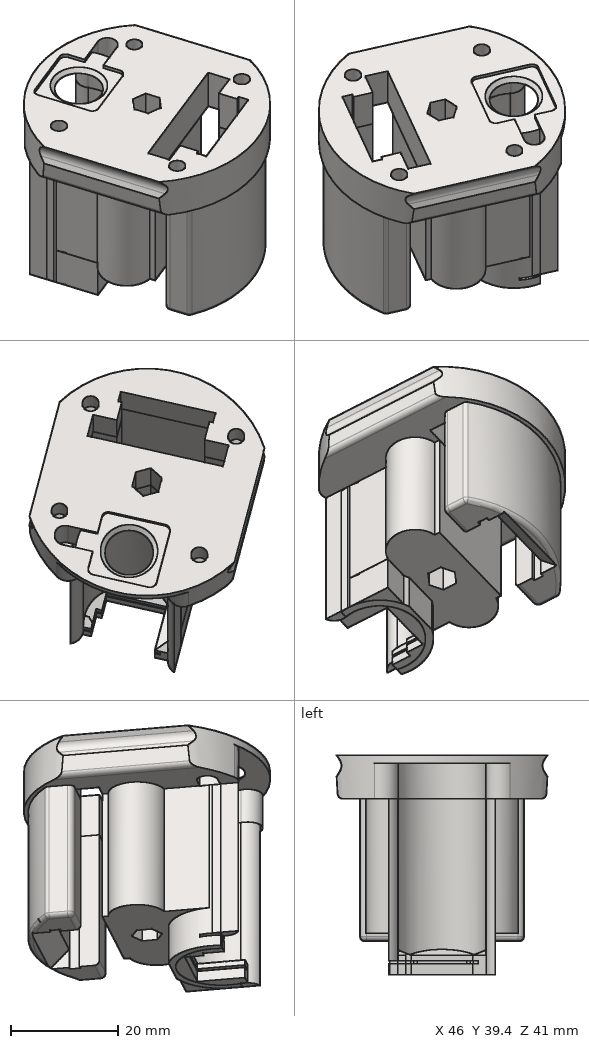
import cadquery as cq
import math


plate_radius = 23.0
clear_x = -1.2 * plate_radius
plate_thickness = 8.2
half_width = 19.7
groove_height = 4.05
groove_vertex_depth = 1.25
groove_vertex_drop = 1.95
groove_root_radius = 2.0
flat_lean = 0.25
flat_edge_radius = 1.1
hex_across_corners = 5.8

blind_holes = [
    (-9.5, 14.5, 3.0),
    (-12.0, -12.95, 3.1),
    (12.93, 14.0, 3.1),
    (12.93, -14.0, 3.1),
]
blind_hole_depth = 5.05
drill_tip_angle = 118.0

bay_x = -14.15
bay_radius = 8.5
bay_ceiling = -1.5
mouth_radius = 2.85
sleeve_radius = 10.0
sleeve_left_x = -16.1
sleeve_right_x = -4.88
total_height = 41.0

recess_x = -14.08
recess_size = 13.05
recess_depth = 0.7
recess_corner_radius = 1.25
roof_hole_diameter = 9.0
channel_width = 3.9
channel_end_y = 14.25

opening_half = 5.75
step_y = 6.8
step_x = -12.05
plug_left_x = -17.5
plug_rim_z = -37.35
plug_top_allowance = 1.85
ramp_slope = 0.4
slot_top_z = -38.4
slot_bottom_z = -38.9
slot_back_x = -8.0
slot_tab_half = 5.25
slot_tab_depth = 1.0

wing_end_x = -14.5

block_left_x = -14.0
block_right_x = 6.45
block_bottom_z = -33.2
boss_radius = 5.47
boss_y = 8.75

corner_right_x = -5.4

servo_left_x = block_right_x
holder_left_x = 10.85
holder_radius = 22.15
holder_half_width = 15.3
holder_bottom_z = -34.75
holder_corner_radius = 1.15
holder_bottom_radius = 0.9
servo_wide_half = 13.0
servo_narrow_half = 8.4
servo_back_x = 16.6
servo_notch_x = 14.65
servo_notch_half = 9.1
back_bevel = 3.7


def box(x_range, y_range, z_range):
    """Axis-aligned box from its limits along each axis."""
    sizes = [high - low for low, high in (x_range, y_range, z_range)]
    corner = (x_range[0], y_range[0], z_range[0])
    return cq.Workplane("XY").box(*sizes, centered=False).translate(corner)


def disc(x, y, radius, z_range):
    """Upright cylinder between two heights."""
    bottom, top = z_range
    return cq.Workplane("XY", origin=(x, y, bottom)).circle(radius).extrude(top - bottom)


def bay_space(z_range):
    """Round bay whose wall curves out through rounded lips to the plate's rim, then on towards -X."""
    rim_reach = plate_radius - mouth_radius
    bay_reach = bay_radius + mouth_radius
    lip_x = (rim_reach**2 - bay_reach**2 + bay_x**2) / (2 * bay_x)
    lip_y = math.sqrt(rim_reach**2 - lip_x**2)

    to_rim = (lip_x / rim_reach, lip_y / rim_reach)
    to_bay = ((bay_x - lip_x) / bay_reach, -lip_y / bay_reach)
    between = (to_rim[0] + to_bay[0], to_rim[1] + to_bay[1])
    length = math.hypot(*between)
    to_middle = (between[0] / length, between[1] / length)

    def lip_point(direction, side):
        return (lip_x + mouth_radius * direction[0], side * (lip_y + mouth_radius * direction[1]))

    rim_y = lip_point(to_rim, 1)[1]
    bottom, top = z_range
    return (
        cq.Workplane("XY", origin=(0, 0, bottom))
        .moveTo(clear_x, rim_y)
        .lineTo(*lip_point(to_rim, 1))
        .threePointArc(lip_point(to_middle, 1), lip_point(to_bay, 1))
        .threePointArc((bay_x + bay_radius, 0), lip_point(to_bay, -1))
        .threePointArc(lip_point(to_middle, -1), lip_point(to_rim, -1))
        .lineTo(clear_x, -rim_y)
        .close()
        .extrude(top - bottom)
    )


def hex_hole(z_range):
    bottom, top = z_range
    return cq.Workplane("XY", origin=(0, 0, bottom)).polygon(6, hex_across_corners).extrude(top - bottom)


def servo_pocket(z_range):
    """Stepped opening for the servo, the same in the plate and in the holder."""
    wide = box((servo_left_x, holder_left_x), (-servo_wide_half, servo_wide_half), z_range)
    narrow = box((servo_left_x, servo_back_x), (-servo_narrow_half, servo_narrow_half), z_range)
    notch = box((servo_notch_x, servo_back_x), (-servo_notch_half, servo_notch_half), z_range)
    return wide.union(narrow).union(notch)


def blind_hole(x, y, diameter):
    """Drilled hole with a conical bottom."""
    radius = diameter / 2
    tip_depth = blind_hole_depth + radius / math.tan(math.radians(drill_tip_angle / 2))
    profile = [(0, 0), (radius, 0), (radius, -blind_hole_depth), (0, -tip_depth)]
    return cq.Workplane("XZ").polyline(profile).close().revolve(360, (0, 0), (0, 1)).translate((x, y, 0))


def plate_blank():
    """Disc whose two flats carry a rounded V groove and a rounded lower edge."""
    lower_half_width = half_width - flat_lean
    section = (
        cq.Workplane("YZ", origin=(-plate_radius, 0, 0))
        .moveTo(half_width, 0)
        .lineTo(half_width - groove_vertex_depth, -groove_vertex_drop)
        .lineTo(half_width, -groove_height)
        .lineTo(lower_half_width, -plate_thickness)
        .lineTo(-lower_half_width, -plate_thickness)
        .lineTo(-half_width, -groove_height)
        .lineTo(groove_vertex_depth - half_width, -groove_vertex_drop)
        .lineTo(-half_width, 0)
        .close()
        .extrude(2 * plate_radius)
    )
    root_y = half_width - groove_vertex_depth
    for y, z, radius in (
        (root_y, -groove_vertex_drop, groove_root_radius),
        (lower_half_width, -plate_thickness, flat_edge_radius),
    ):
        for side in (-1, 1):
            edge = cq.selectors.NearestToPointSelector((0, side * y, z))
            section = section.edges("|X").edges(edge).fillet(radius)
    return section.intersect(disc(0, 0, plate_radius, (-plate_thickness, 0)))


def roof_recess():
    """Rounded square recess with a bevelled hole and a channel that drops past the sleeve."""
    recess = (
        cq.Workplane("XY", origin=(recess_x, 0, -recess_depth))
        .rect(recess_size, recess_size)
        .extrude(recess_depth)
        .edges("|Z")
        .fillet(recess_corner_radius)
    )
    bevel = -recess_depth - bay_ceiling
    hole_radius = roof_hole_diameter / 2
    hole = (
        cq.Workplane("XZ")
        .moveTo(0, bay_ceiling)
        .lineTo(hole_radius, bay_ceiling)
        .lineTo(hole_radius + bevel, -recess_depth)
        .lineTo(0, -recess_depth)
        .close()
        .revolve(360, (0, 0), (0, 1))
        .translate((recess_x, 0, 0))
    )
    left, right = recess_x - channel_width / 2, recess_x + channel_width / 2
    round_end_y = channel_end_y - channel_width / 2

    def channel(z_range):
        straight = box((left, right), (0, round_end_y), z_range)
        return straight.union(disc(recess_x, round_end_y, channel_width / 2, z_range))

    through = (-plate_thickness, 0)
    drop = channel(through).cut(disc(bay_x, 0, sleeve_radius, through))
    return recess.union(hole).union(channel((-recess_depth, 0))).union(drop)


def make_plate():
    through = (-plate_thickness, 0)
    plate = plate_blank()
    plate = plate.cut(bay_space((-plate_thickness, bay_ceiling)))
    plate = plate.cut(roof_recess()).cut(hex_hole(through)).cut(servo_pocket(through))
    for hole in blind_holes:
        plate = plate.cut(blind_hole(*hole))
    return plate


def sleeve_outline(z_range):
    """Sleeve without its bore, cut flat at both ends."""
    limits = box((sleeve_left_x, sleeve_right_x), (-sleeve_radius, sleeve_radius), z_range)
    return disc(bay_x, 0, sleeve_radius, z_range).intersect(limits)


def contact_slot():
    """Thin slot across the plug, open towards -X, with a tab at its back and a shallow part out to +Y."""
    heights = (slot_bottom_z, slot_top_z)
    main = box((-plate_radius, slot_back_x), (-step_y, step_y), heights)
    side = box((-plate_radius, step_x), (0, plate_radius), heights)
    tab = box((slot_back_x, slot_back_x + slot_tab_depth), (-slot_tab_half, slot_tab_half), heights)
    return main.union(tab).union(side)


def make_sleeve():
    below_plate = (-total_height, -plate_thickness)
    return sleeve_outline(below_plate).cut(bay_space(below_plate)).cut(contact_slot())


def make_wing(side):
    """Wall beside the mouth; the one on the +Y side stops at the contact slot."""
    bottom = slot_top_z if side > 0 else -total_height
    heights = (bottom, -plate_thickness)
    y_limits = sorted((0, side * sleeve_radius))
    wing = box((-plate_radius, wing_end_x), y_limits, heights)
    return wing.cut(bay_space(heights)).cut(sleeve_outline(heights))


def ramp_cut(end_x, y_range):
    """Wedge that slopes the plug's top down towards its -X end."""
    rise = ramp_slope * (bay_x - end_x)
    top = plug_rim_z + plug_top_allowance
    return (
        cq.Workplane("XZ", origin=(0, y_range[1], 0))
        .polyline([(end_x, plug_rim_z), (bay_x, plug_rim_z + rise), (bay_x, top), (end_x, top)])
        .close()
        .extrude(y_range[1] - y_range[0])
    )


def make_plug():
    """Floor of the bay: a square opening with sloped sides above it, open towards -X."""
    heights = (-total_height, plug_rim_z + plug_top_allowance)
    limits = box((plug_left_x, bay_x + bay_radius), (-bay_radius, bay_radius), heights)
    plug = bay_space(heights).intersect(limits)
    opening_right = bay_x + opening_half
    plug = plug.cut(box((plug_left_x, sleeve_left_x), (0, bay_radius), heights))
    plug = plug.cut(box((plug_left_x, opening_right), (-opening_half, opening_half), heights))
    plug = plug.cut(box((plug_left_x, step_x), (0, step_y), heights))

    pit = (
        cq.Workplane("XY", origin=((clear_x + opening_right) / 2, 0, plug_rim_z))
        .rect(opening_right - clear_x, 2 * opening_half)
        .extrude(plug_top_allowance, taper=-math.degrees(math.atan(1 / ramp_slope)))
    )
    plug = plug.cut(pit)
    plug = plug.cut(ramp_cut(sleeve_left_x, (0, bay_radius)))
    plug = plug.cut(ramp_cut(plug_left_x, (-bay_radius, 0)))
    return plug.cut(contact_slot())


def make_centre_block():
    heights = (block_bottom_z, -plate_thickness)
    block = box((block_left_x, block_right_x), (-sleeve_radius, sleeve_radius), heights)
    for side in (-1, 1):
        block = block.union(disc(0, side * boss_y, boss_radius, heights))
    return block.cut(sleeve_outline(heights)).cut(bay_space(heights)).cut(hex_hole(heights))


def make_corner_block():
    heights = (-total_height, block_bottom_z)
    block = box((block_left_x, corner_right_x), (-sleeve_radius, 0), heights)
    return block.cut(sleeve_outline(heights))


def make_servo_holder():
    heights = (holder_bottom_z, -plate_thickness)
    limits = box((holder_left_x, plate_radius), (-holder_half_width, holder_half_width), heights)
    holder = disc(0, 0, holder_radius, heights).intersect(limits)
    holder = holder.edges("|Z").fillet(holder_corner_radius)
    holder = holder.faces("<Z").edges().fillet(holder_bottom_radius)
    bevel = (
        cq.Workplane("XZ", origin=(0, servo_narrow_half, 0))
        .moveTo(servo_back_x, holder_bottom_z)
        .lineTo(servo_back_x, holder_bottom_z + back_bevel)
        .lineTo(servo_back_x + back_bevel, holder_bottom_z)
        .close()
        .extrude(2 * servo_narrow_half)
    )
    return holder.cut(servo_pocket(heights)).cut(bevel)


plate = make_plate()
sleeve = make_sleeve()
wings = [make_wing(side) for side in (-1, 1)]
plug = make_plug()
centre_block = make_centre_block()
corner_block = make_corner_block()
servo_holder = make_servo_holder()

bodies = [plate, sleeve, *wings, plug, centre_block, corner_block, servo_holder]
result = cq.Compound.makeCompound([body.solids().val() for body in bodies])